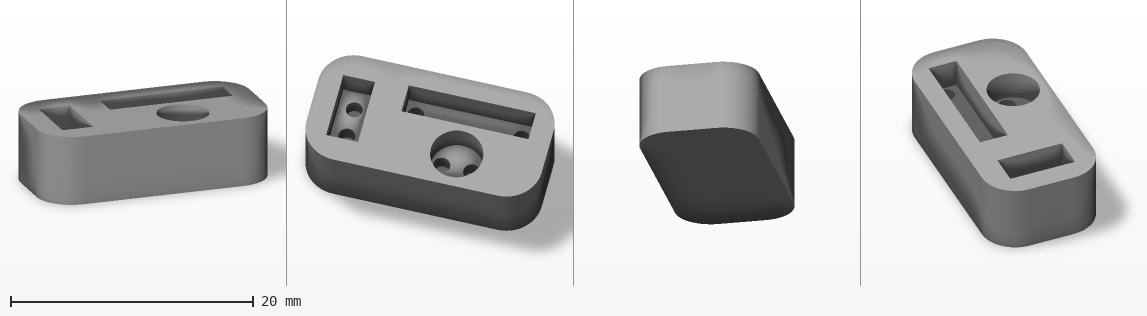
import cadquery as cq

WIDTH = 10.0
LENGTH = 20.0
HEIGHT = 5.9
CORNER_RADIUS = 3.0

POCKET_DEPTH = 2.5

LEAD_DIAMETER = 1.4
LEAD_DEPTH = 1.5
SHORT_LEAD_PITCH = 2.54
LONG_LEAD_PITCH = 9.0

UPPER_POCKETS_Y = 2.78
SIDE_OFFSET_X = 2.02
SLOT_WIDTH = 2.5
SLOT_LENGTH = 10.8
ROUND_DIAMETER = 4.4

BOX_Y = -6.75
BOX_LENGTH = 5.8
BOX_WIDTH = 2.7


def make_block():
    """Block with rounded vertical corners, bottom face on Z = 0."""
    block = cq.Workplane("XY").box(WIDTH, LENGTH, HEIGHT, centered=(True, True, False))
    return block.edges("|Z").fillet(CORNER_RADIUS)


def plane_below_top(depth, x, y):
    """Workplane at the given depth below the top face, centred on (x, y)."""
    return cq.Workplane("XY", origin=(x, y, HEIGHT - depth))


def rectangular_pocket(x, y, size_x, size_y):
    return plane_below_top(POCKET_DEPTH, x, y).rect(size_x, size_y).extrude(POCKET_DEPTH)


def round_pocket(x, y, diameter):
    return plane_below_top(POCKET_DEPTH, x, y).circle(diameter / 2).extrude(POCKET_DEPTH)


def lead_holes(x, y, pitch_x, pitch_y):
    """Pair of blind holes placed symmetrically about (x, y) in a pocket floor."""
    ends = [(side * pitch_x / 2, side * pitch_y / 2) for side in (-1, 1)]
    plane = plane_below_top(POCKET_DEPTH + LEAD_DEPTH, x, y)
    return plane.pushPoints(ends).circle(LEAD_DIAMETER / 2).extrude(LEAD_DEPTH)


cutters = [
    rectangular_pocket(-SIDE_OFFSET_X, UPPER_POCKETS_Y, SLOT_WIDTH, SLOT_LENGTH),
    lead_holes(-SIDE_OFFSET_X, UPPER_POCKETS_Y, 0, LONG_LEAD_PITCH),
    round_pocket(SIDE_OFFSET_X, UPPER_POCKETS_Y, ROUND_DIAMETER),
    lead_holes(SIDE_OFFSET_X, UPPER_POCKETS_Y, 0, SHORT_LEAD_PITCH),
    rectangular_pocket(0, BOX_Y, BOX_LENGTH, BOX_WIDTH),
    lead_holes(0, BOX_Y, SHORT_LEAD_PITCH, 0),
]

result = make_block()
for cutter in cutters:
    result = result.cut(cutter)